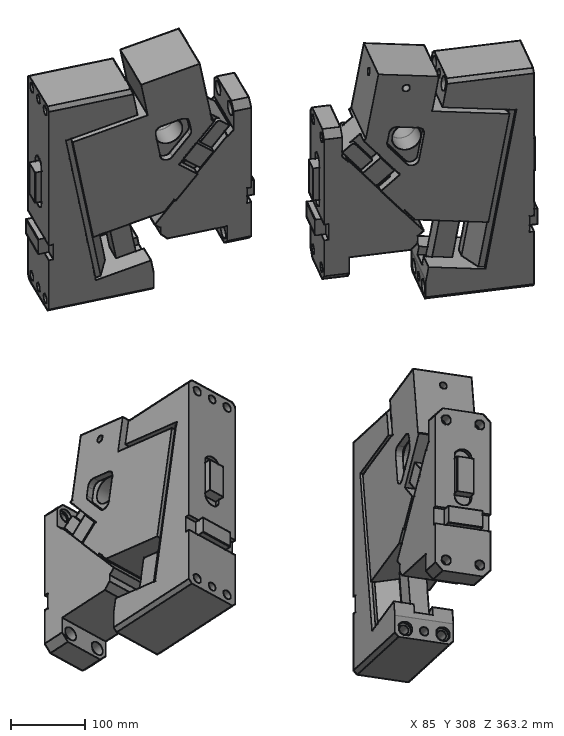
import cadquery as cq
import math


overall_height = 363.2
overall_depth = 308.0
key_overhang = 9.0
through_length = 181.5
tilt = math.radians(10)
incline = math.radians(50)
seat_y = 67.2
seat_z = 38.0
heel_y = 262.2
heel_z = 239.7

body_width = 85.0
housing_height = 340.5
housing_depth = 149.5
housing_chamfer = 5.5
seat_height = 247.0
upper_lip_reach = 104.0
lower_lip_reach = 80.0
ridge_half_width = 37.0
ridge_shoulder = 8.7
ridge_height = 25.5
ridge_taper = math.radians(60)
ridge_top_half_width = ridge_half_width - (ridge_height - ridge_shoulder) * math.tan(ridge_taper)
bar_half_width = 13.5
bar_front = 39.5
bar_back = 68.0
lip_slot_depth = 12.7

slide_bottom = 72.3
slide_shoulder = 240.5
slide_nose = 117.3
heel_length = 38.5
relief_start = 126.0
relief_depth = 3.3
toe_reach = 112.2
bore_diameter = 40.0
bore_reach = 142.7
bore_height = 194.0
pocket_depth = 10.0
pocket_front = 122.5
pocket_back = 171.5
pocket_top = 214.3
pocket_knee = 185.5
pocket_radius = 9.8
clamp_length = 78.0
clamp_height = 34.5
neck_half_width = 23.0
flange_half_width = 29.5
flange_height = 20.7
flange_radius = 4.7
block_start = 40.3
block_end = 69.7
block_height = 32.7
block_half_width = 38.5
side_hole_diameter = 10.0
side_hole_y = 177.0
side_hole_z = 336.5
rear_hole_diameter = 10.0

bracket_width = 80.0
bracket_back = overall_depth - 2 * key_overhang
bracket_bottom = 45.5
bracket_top = 280.5
bracket_chamfer = 10.5
top_flange_face = 264.8
bottom_flange_face = 255.0
web_bottom = 80.5
web_front = 160.5
web_chamfer = 9.5
contact_length = 171.8
step_length = 11.0
step_depth = 1.5

key_thickness = 24.7
cross_key_length = 49.5
upright_key_length = 50.5
key_chamfer = 0.7
groove_depth = 6.0
key_slot_length = 81.0
outer_hole_diameter = 13.5
centre_hole_diameter = 12.5
counterbore_diameter = 20.0
counterbore_depth = 5.5
hole_x = 27.2
hole_margin = 13.5
bracket_hole_x = 24.5
bracket_hole_margin = 16.0
bracket_hole_land = 19.5
housing_upright_z = 190.0
housing_cross_z = 100.0
bracket_upright_z = 185.0
bracket_cross_z = 124.5


def on_seat(u, v):
    """(Y, Z) of a point u behind the housing seat and v up along it."""
    return (seat_y + u * math.cos(tilt) - v * math.sin(tilt),
            seat_z + u * math.sin(tilt) + v * math.cos(tilt))


def on_incline(s, n):
    """(Y, Z) of a point s down the contact plane and n above it, towards the slide."""
    return (heel_y - s * math.cos(incline) - n * math.sin(incline),
            heel_z - s * math.sin(incline) + n * math.cos(incline))


def prism(points, half_width, inner_half_width=0):
    """Prism across X over a (Y, Z) outline, or a matching pair outside inner_half_width."""
    outline = cq.Workplane("YZ").polyline(points).close()
    if not inner_half_width:
        return outline.extrude(half_width, both=True)
    side = cq.Workplane("YZ", origin=(inner_half_width, 0, 0)).polyline(points).close()
    side = side.extrude(half_width - inner_half_width)
    return side.union(side.mirror("YZ"))


def seat_box(u0, u1, v0, v1, half_width):
    """Block aligned with the housing seat."""
    corners = [on_seat(u0, v0), on_seat(u1, v0), on_seat(u1, v1), on_seat(u0, v1)]
    return prism(corners, half_width)


def incline_points(s0, s1, n0, n1):
    """Corners of a rectangle aligned with the contact plane."""
    return [on_incline(s0, n0), on_incline(s1, n0), on_incline(s1, n1), on_incline(s0, n1)]


def y_cylinder(x, y, z, diameter, length):
    """Cylinder starting at y and running towards +Y."""
    plane = cq.Plane(origin=(x, y, z), xDir=(1, 0, 0), normal=(0, 1, 0))
    return cq.Workplane(plane).circle(diameter / 2).extrude(length)


def add_keys(body, face_y, outward, upright_z, cross_z):
    """Cut a cross groove and a round-ended slot into a mounting face and fit a key in each."""
    height = key_overhang + groove_depth
    floor_y = face_y - outward * groove_depth
    plane = cq.Plane(origin=(0, floor_y, 0), xDir=(-outward, 0, 0), normal=(0, outward, 0))
    base = cq.Workplane(plane)
    groove = base.center(0, cross_z).rect(2 * body_width, key_thickness).extrude(height)
    slot = base.center(0, upright_z).slot2D(key_slot_length, key_thickness, 90).extrude(height)
    cross_key = base.center(0, cross_z).rect(cross_key_length, key_thickness).extrude(height)
    upright_key = base.center(0, upright_z).rect(key_thickness, upright_key_length).extrude(height)
    outer_face = ">Y" if outward > 0 else "<Y"
    cross_key = cross_key.faces(outer_face).edges("|X").chamfer(key_chamfer)
    upright_key = upright_key.faces(outer_face).edges("|Z").chamfer(key_chamfer)
    return body.cut(groove).cut(slot).union(cross_key).union(upright_key)


def make_ridge():
    """Tapered ridge along the housing seat, between the lips."""
    start_y, start_z = on_seat(0, 0)
    along = (0, -math.sin(tilt), math.cos(tilt))
    plane = cq.Plane(origin=(0, start_y, start_z), xDir=(1, 0, 0), normal=along)
    profile = [
        (-ridge_half_width, 0),
        (ridge_half_width, 0),
        (ridge_half_width, ridge_shoulder),
        (ridge_top_half_width, ridge_height),
        (-ridge_top_half_width, ridge_height),
        (-ridge_half_width, ridge_shoulder),
    ]
    return cq.Workplane(plane).polyline(profile).close().extrude(seat_height)


def make_bar():
    """Straight bar from lip to lip, parallel to the seat."""
    return seat_box(bar_front, bar_back, 0, seat_height, bar_half_width)


def make_housing():
    upper_back_v = (housing_height - seat_z - upper_lip_reach * math.sin(tilt)) / math.cos(tilt)
    lower_back_v = (seat_y + lower_lip_reach * math.cos(tilt) - housing_depth) / math.sin(tilt)
    outline = [
        (0, 0),
        (0, housing_height),
        on_seat(upper_lip_reach, upper_back_v),
        on_seat(upper_lip_reach, seat_height),
        on_seat(0, seat_height),
        on_seat(0, 0),
        on_seat(lower_lip_reach, 0),
        on_seat(lower_lip_reach, lower_back_v),
        (housing_depth, 0),
    ]
    housing = prism(outline, body_width / 2)
    for end in (">Z", "<Z"):
        housing = housing.faces(end).edges("|Y").chamfer(housing_chamfer)

    lip_slot = seat_box(bar_back, upper_lip_reach, -lip_slot_depth, 0, bar_half_width)
    housing = housing.cut(lip_slot)
    housing = housing.union(make_ridge()).union(make_bar())

    upper_z = housing_height - hole_margin
    upper_v = (upper_z - seat_z - upper_lip_reach * math.sin(tilt)) / math.cos(tilt)
    upper_exit_y = on_seat(upper_lip_reach, upper_v)[0]
    for z, exit_y in ((upper_z, upper_exit_y), (hole_margin, housing_depth)):
        housing = housing.cut(y_cylinder(0, 0, z, centre_hole_diameter, through_length))
        for x in (-hole_x, hole_x):
            housing = housing.cut(y_cylinder(x, 0, z, outer_hole_diameter, through_length))
            housing = housing.cut(
                y_cylinder(x, exit_y - counterbore_depth, z, counterbore_diameter, through_length))
    return add_keys(housing, 0, -1, housing_upright_z, housing_cross_z)


def make_side_pocket():
    """Pair of rounded pockets around the bore; the lower edge follows the contact plane."""
    drop = (pocket_back - pocket_front) * math.tan(incline - tilt)
    corners = [
        on_seat(pocket_back, pocket_knee),
        on_seat(pocket_back, pocket_top),
        on_seat(pocket_front, pocket_top),
        on_seat(pocket_front, pocket_knee - drop),
    ]
    half_width = body_width / 2
    return prism(corners, half_width, half_width - pocket_depth).edges("|X").fillet(pocket_radius)


def make_clamp_recess():
    """Pair of side recesses that leave a flange, a neck and a block beside the contact plane."""
    half_width = body_width / 2
    recess = prism(incline_points(0, clamp_length, 0, clamp_height), half_width, neck_half_width)
    flange = prism(incline_points(0, clamp_length, 0, flange_height), flange_half_width)
    corner_y, corner_z = on_incline(0, flange_height)
    flange = flange.edges(cq.NearestToPointSelector((0, corner_y, corner_z))).fillet(flange_radius)
    block = prism(incline_points(block_start, block_end, 0, block_height), block_half_width)
    return recess.cut(flange).cut(block)


def make_slide():
    heel_corner = on_incline(0, heel_length)
    back_u = ((heel_corner[0] - seat_y) * math.cos(tilt)
              + (heel_corner[1] - seat_z) * math.sin(tilt))
    slide_top = (overall_height - seat_z - back_u * math.sin(tilt)) / math.cos(tilt)
    outline = [
        on_seat(ridge_shoulder, slide_bottom),
        on_seat(ridge_shoulder, slide_shoulder),
        on_seat(slide_nose, slide_shoulder),
        on_seat(slide_nose, slide_top),
        on_seat(back_u, slide_top),
        heel_corner,
        on_incline(0, 0),
        on_incline(relief_start, 0),
        on_incline(relief_start, relief_depth),
        on_seat(toe_reach, slide_bottom),
    ]
    slide = prism(outline, body_width / 2)
    slide = slide.cut(make_ridge()).cut(make_bar())
    slide = slide.cut(make_side_pocket()).cut(make_clamp_recess())

    bore_centre = on_seat(bore_reach, bore_height)
    bore = cq.Workplane("YZ").center(*bore_centre).circle(bore_diameter / 2)
    slide = slide.cut(bore.extrude(body_width, both=True))

    side_hole = cq.Workplane("YZ", origin=(-body_width / 2, side_hole_y, side_hole_z))
    side_hole = side_hole.circle(side_hole_diameter / 2).extrude(body_width / 2)
    backward = (0, math.cos(tilt), math.sin(tilt))
    rear_plane = cq.Plane(origin=(0, side_hole_y, side_hole_z), xDir=(1, 0, 0), normal=backward)
    rear_hole = cq.Workplane(rear_plane).circle(rear_hole_diameter / 2).extrude(through_length)
    return slide.cut(side_hole).cut(rear_hole)


def make_bracket():
    toe = on_incline(contact_length, 0)
    toe_drop = (web_front - toe[0]) / math.tan(incline)
    outline = [
        (bracket_back, bracket_bottom),
        (bracket_back, bracket_top),
        (top_flange_face, bracket_top),
        (top_flange_face, heel_z),
        on_incline(step_length, -step_depth),
        on_incline(step_length, 0),
        toe,
        (web_front, toe[1] - toe_drop),
        (web_front, web_bottom + web_chamfer),
        (web_front + web_chamfer, web_bottom),
        (bottom_flange_face, web_bottom),
        (bottom_flange_face, bracket_bottom),
    ]
    bracket = prism(outline, bracket_width / 2)
    for end in (">Z", "<Z"):
        bracket = bracket.faces(end).edges("|Y").chamfer(bracket_chamfer)

    holes = ((bracket_top - bracket_hole_margin, top_flange_face),
             (bracket_bottom + bracket_hole_margin, bottom_flange_face))
    for z, face_y in holes:
        bore_depth = bracket_back - bracket_hole_land - face_y
        for x in (-bracket_hole_x, bracket_hole_x):
            bracket = bracket.cut(y_cylinder(x, face_y, z, outer_hole_diameter, through_length))
            bracket = bracket.cut(y_cylinder(x, face_y, z, counterbore_diameter, bore_depth))
    return add_keys(bracket, bracket_back, 1, bracket_upright_z, bracket_cross_z)


housing = make_housing()
slide = make_slide()
bracket = make_bracket()
result = cq.Compound.makeCompound([body.solids().val() for body in (housing, slide, bracket)])